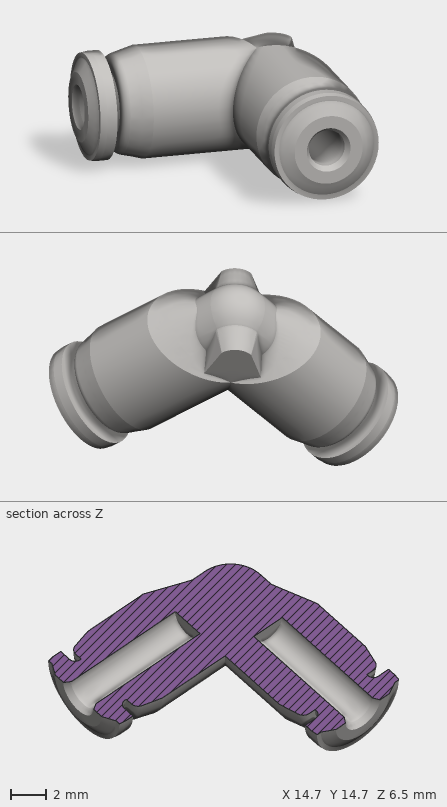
import cadquery as cq
import math

overall_length = 14.7
arm_radius = 3.25
arm_reach = overall_length - arm_radius

taper_start = 7.94
taper_angle = 15.0
socket_end = 9.57
socket_edge_radius = 0.51

neck_radius = 1.97
flare_start = 9.66
ring_inner_face = 10.05
ring_radius = 3.15
ring_taper_start = 10.65
ring_outer_face = 11.04
ring_edge_radius = 3.09
nose_base_radius = 2.8
nose_radius = 2.01

bore_radius = 1.06
bore_mouth_radius = 1.3
bore_mouth_depth = 0.38
bore_end = arm_radius

core_radius = 2.2
shoulder_start = 3.76
apex_y = 1.84
shoulder_tip_scale = 0.2

pad_height = 3.0
pad_draft = 15.5
pad_nose_radius = 1.19
pad_corner_x = 1.93
pad_corner_y = 0.37

miter_point = math.sqrt(arm_radius**2 - pad_height**2)
slant_slope = (shoulder_start - miter_point) / (arm_radius + miter_point)
slant_center_x = shoulder_start - slant_slope * arm_radius
slant_stretch = math.hypot(1, slant_slope)


def revolve_about_x(outline):
    return outline.close().revolve(360, (0, 0, 0), (1, 0, 0))


def socket_body():
    """Round arm with a tapered, rounded outer end."""
    end_radius = arm_radius - (socket_end - taper_start) * math.tan(math.radians(taper_angle))
    outline = (
        cq.Workplane("XY")
        .moveTo(-arm_radius, 0)
        .lineTo(-arm_radius, arm_radius)
        .lineTo(taper_start, arm_radius)
        .lineTo(socket_end, end_radius)
        .lineTo(socket_end, 0)
    )
    return revolve_about_x(outline).faces(">X").edges().fillet(socket_edge_radius)


def release_ring():
    """Neck with a concave flare, the ring itself and its conical nose."""
    flare_radius = ring_inner_face - flare_start
    outline = (
        cq.Workplane("XY")
        .moveTo(taper_start, 0)
        .lineTo(taper_start, neck_radius)
        .lineTo(flare_start, neck_radius)
        .radiusArc((ring_inner_face, neck_radius + flare_radius), -flare_radius)
        .lineTo(ring_inner_face, ring_radius)
        .lineTo(ring_taper_start, ring_radius)
        .lineTo(ring_outer_face, ring_edge_radius)
        .lineTo(ring_outer_face, nose_base_radius)
        .lineTo(arm_reach, nose_radius)
        .lineTo(arm_reach, 0)
    )
    return revolve_about_x(outline)


def tube_bore():
    """Blind bore with a conical mouth."""
    outline = (
        cq.Workplane("XY")
        .moveTo(bore_end, 0)
        .lineTo(bore_end, bore_radius)
        .lineTo(arm_reach - bore_mouth_depth, bore_radius)
        .lineTo(arm_reach, bore_mouth_radius)
        .lineTo(arm_reach, 0)
    )
    return revolve_about_x(outline)


def slanted_ellipse(scale):
    """Section of the arm by the slanted plane, shrunk toward the cone apex."""
    center = cq.Vector(scale * slant_center_x, (1 - scale) * apex_y, 0)
    return cq.Wire.makeEllipse(
        scale * arm_radius * slant_stretch,
        scale * arm_radius,
        center,
        cq.Vector(1, -slant_slope, 0),
        cq.Vector(slant_slope, 1, 0),
    )


def shoulder():
    """Cone frustum whose small end is buried in the elbow core."""
    sections = [slanted_ellipse(1), slanted_ellipse(shoulder_tip_scale)]
    return cq.Workplane(cq.Solid.makeLoft(sections, ruled=True))


def beyond_line(start, end):
    """Tall block on the +X side of the line from start up to end."""
    far_x = 2 * overall_length
    return (
        cq.Workplane("XY")
        .workplane(offset=-overall_length)
        .polyline([start, (far_x, start[1]), (far_x, end[1]), end])
        .close()
        .extrude(2 * overall_length)
    )


def arm():
    """The +X arm, ending at the 45 degree miter plane."""
    slant_low = (slant_center_x - slant_slope * overall_length, -overall_length)
    slant_high = (slant_center_x + slant_slope * overall_length, overall_length)
    miter_low = (overall_length, -overall_length)
    miter_high = (-overall_length, overall_length)
    body = socket_body().intersect(beyond_line(slant_low, slant_high)).union(shoulder())
    core = cq.Workplane("YZ").circle(core_radius).extrude(shoulder_start)
    return body.union(core).intersect(beyond_line(miter_low, miter_high)).union(release_ring())


def to_other_arm(shape):
    """Half turn about the miter line: +X goes to -Y."""
    return shape.rotate((0, 0, 0), (1, -1, 0), 180)


def pad():
    """Upper pad, widening downward into the elbow core."""
    return (
        cq.Workplane("XY")
        .workplane(offset=pad_height)
        .moveTo(0, pad_nose_radius)
        .lineTo(pad_corner_x, pad_corner_y)
        .lineTo(miter_point, -miter_point)
        .lineTo(-pad_corner_y, -pad_corner_x)
        .lineTo(-pad_nose_radius, 0)
        .radiusArc((0, pad_nose_radius), pad_nose_radius)
        .close()
        .extrude(-pad_height, taper=-pad_draft)
    )


x_arm = arm()
upper_pad = pad()
elbow = x_arm.union(to_other_arm(x_arm)).union(cq.Workplane("XY").sphere(core_radius))
elbow = elbow.union(upper_pad).union(upper_pad.mirror("XY"))
result = elbow.cut(tube_bore()).cut(to_other_arm(tube_bore()))